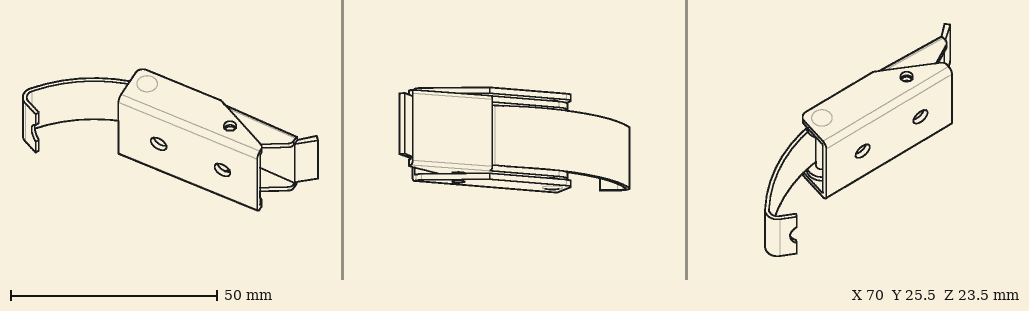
import cadquery as cq
import math


HOUSING_LEFT = -4.0
HOUSING_LENGTH = 37.95
HOUSING_TOP = 3.7
HOUSING_HEIGHT = 11.0
HOUSING_WIDTH = 22.7
SHEET = 1.5
HOUSING_BEND = 1.5
HOUSING_INNER_BEND = 0.3
FLANGE_SLOPE_START = 18.35
FLANGE_SLOPE_END_Y = -4.3
FLANGE_FRONT_RADIUS = 1.95
FLANGE_BACK_RADIUS = 1.5
WEB_HOLE_DIAMETER = 4.3
WEB_HOLE_X = (7.0, 24.4)
LOCK_HOLE_DIAMETER = 3.0
LOCK_HOLE_CENTER = (23.95, -2.3)
PIVOT_DIAMETER = 2.8
DOME_DIAMETER = 5.0
DOME_HEIGHT = 0.4

LEVER_WIDTH = 18.5
LEVER_BEND = 1.0
EAR_RADIUS = 3.7
EAR_LOW_POINT = (26.6, -5.7)
EAR_TAIL_ANGLE = 29.5
EAR_TAIL_RADIUS = 1.5
PLATE_START_X = 18.1
PLATE_START_Y = 4.8
PLATE_END_X = 39.0
PLATE_END_Y = 4.1
TAB_TIP = (42.55, 7.4)
TAB_ANGLE = 42.0
STRIP_WIDTH = 15.0
HOOK_PIN_DIAMETER = 4.0

HOOK_THICKNESS = 1.0
HOOK_ARC_RADIUS = 38.8
HOOK_ARC_CENTER = (4.4, -36.05)
HOOK_EYE_X = 14.9
CLAW_BEND_RADIUS = 3.0
CLAW_BEND_X = -23.45
CLAW_ANGLE = 26.0
CLAW_END_X = -20.9
NOTCH_RADIUS = 4.0
NOTCH_DEPTH = 1.7

HOUSING_RIGHT = HOUSING_LEFT + HOUSING_LENGTH
HOUSING_BOTTOM = HOUSING_TOP - HOUSING_HEIGHT
HOUSING_INNER_WIDTH = HOUSING_WIDTH - 2 * SHEET
LEVER_INNER_WIDTH = LEVER_WIDTH - 2 * SHEET
EYE_RADIUS = HOOK_PIN_DIAMETER / 2 + HOOK_THICKNESS


def on_arc(radius, x):
    """Point at the given X on the upper part of a circle about the hook arc centre."""
    center_x, center_y = HOOK_ARC_CENTER
    return (x, center_y + math.sqrt(radius**2 - (x - center_x) ** 2))


def polar(center, radius, degrees):
    angle = math.radians(degrees)
    return (center[0] + radius * math.cos(angle), center[1] + radius * math.sin(angle))


def direction(start, end):
    return math.degrees(math.atan2(end[1] - start[1], end[0] - start[0]))


HOOK_EYE = on_arc(HOOK_ARC_RADIUS - EYE_RADIUS, HOOK_EYE_X)
CLAW_BEND = on_arc(HOOK_ARC_RADIUS - CLAW_BEND_RADIUS, CLAW_BEND_X)


def prism(outline, width):
    """Extrude a closed outline symmetrically about Z = 0."""
    return outline.extrude(width / 2, both=True)


def rod(center, diameter, length):
    return prism(cq.Workplane("XY").center(*center).circle(diameter / 2), length)


def dome():
    """Rivet head on the +Z flange: a spherical cap."""
    base = HOUSING_WIDTH / 2
    return (
        cq.Workplane("XZ")
        .moveTo(0, base)
        .lineTo(DOME_DIAMETER / 2, base)
        .threePointArc(dome_middle(base), (0, base + DOME_HEIGHT))
        .close()
        .revolve(360, (0, 0, 0), (0, 1, 0))
    )


def dome_middle(base):
    """Point halfway along the dome's profile arc."""
    half = DOME_DIAMETER / 2
    radius = (half**2 + DOME_HEIGHT**2) / (2 * DOME_HEIGHT)
    half_angle = math.degrees(math.asin(half / radius)) / 2
    return polar((0, base + DOME_HEIGHT - radius), radius, 90 - half_angle)


def channel():
    mid_x = (HOUSING_LEFT + HOUSING_RIGHT) / 2
    outer = (
        cq.Workplane("XY")
        .box(HOUSING_LENGTH, HOUSING_HEIGHT, HOUSING_WIDTH)
        .edges("|X and <Y")
        .fillet(HOUSING_BEND)
    )
    inner = (
        cq.Workplane("XY")
        .box(HOUSING_LENGTH, HOUSING_HEIGHT, HOUSING_INNER_WIDTH)
        .edges("|X and <Y")
        .fillet(HOUSING_INNER_BEND)
        .translate((0, SHEET, 0))
    )
    return outer.cut(inner).translate((mid_x, (HOUSING_TOP + HOUSING_BOTTOM) / 2, 0))


def flange_outline():
    """Side shape of the housing, with the sloped flange end."""
    outline = (
        cq.Workplane("XY")
        .moveTo(HOUSING_LEFT, HOUSING_BOTTOM)
        .lineTo(HOUSING_RIGHT, HOUSING_BOTTOM)
        .lineTo(HOUSING_RIGHT, FLANGE_SLOPE_END_Y)
        .lineTo(FLANGE_SLOPE_START, HOUSING_TOP)
        .lineTo(HOUSING_LEFT, HOUSING_TOP)
        .close()
    )
    return (
        prism(outline, HOUSING_WIDTH)
        .edges("|Z and <X and >Y")
        .fillet(FLANGE_FRONT_RADIUS)
        .edges(cq.NearestToPointSelector((HOUSING_RIGHT, FLANGE_SLOPE_END_Y, 0)))
        .fillet(FLANGE_BACK_RADIUS)
    )


def make_housing():
    body = channel().intersect(flange_outline())
    for x in WEB_HOLE_X:
        hole = (
            cq.Workplane("XZ", origin=(x, HOUSING_BOTTOM + SHEET, 0))
            .circle(WEB_HOLE_DIAMETER / 2)
            .extrude(SHEET)
        )
        body = body.cut(hole)
    body = body.cut(rod(LOCK_HOLE_CENTER, LOCK_HOLE_DIAMETER, HOUSING_WIDTH))
    body = body.union(rod((0, 0), PIVOT_DIAMETER, HOUSING_WIDTH))
    head = dome()
    return body.union(head).union(head.mirror("XY"))


def ears():
    low_x, low_y = EAR_LOW_POINT
    tail_y = low_y + (PLATE_END_X - low_x) * math.tan(math.radians(EAR_TAIL_ANGLE))
    low_distance = math.hypot(low_x, low_y)
    tangent_angle = direction((0, 0), EAR_LOW_POINT) - math.degrees(math.acos(EAR_RADIUS / low_distance))
    outline = (
        cq.Workplane("XY")
        .moveTo(0, EAR_RADIUS)
        .threePointArc((-EAR_RADIUS, 0), polar((0, 0), EAR_RADIUS, tangent_angle))
        .lineTo(low_x, low_y)
        .lineTo(PLATE_END_X, tail_y)
        .lineTo(PLATE_END_X, PLATE_END_Y)
        .lineTo(PLATE_START_X, PLATE_START_Y)
        .lineTo(PLATE_START_X, EAR_RADIUS)
        .close()
    )
    solid = (
        prism(outline, LEVER_WIDTH)
        .edges(cq.NearestToPointSelector((PLATE_END_X, tail_y, 0)))
        .fillet(EAR_TAIL_RADIUS)
    )
    opening = cq.Workplane("XY").box(4 * PLATE_END_X, 4 * PLATE_END_X, LEVER_INNER_WIDTH)
    return solid.cut(opening)


def plate():
    outline = cq.Workplane("XY").polyline(
        [
            (PLATE_START_X, PLATE_START_Y),
            (PLATE_END_X, PLATE_END_Y),
            (PLATE_END_X, PLATE_END_Y - SHEET),
            (PLATE_START_X, PLATE_START_Y - SHEET),
        ]
    ).close()
    return prism(outline, LEVER_WIDTH)


def finger_tab():
    lower_tip = polar(TAB_TIP, SHEET, TAB_ANGLE - 90)
    outline = cq.Workplane("XY").polyline(
        [
            (PLATE_END_X, PLATE_END_Y),
            TAB_TIP,
            lower_tip,
            (PLATE_END_X, PLATE_END_Y - SHEET),
        ]
    ).close()
    return prism(outline, STRIP_WIDTH)


def make_lever():
    body = ears().union(plate())
    plate_middle = ((PLATE_START_X + PLATE_END_X) / 2, (PLATE_START_Y + PLATE_END_Y) / 2)
    for side in (-1, 1):
        edge_point = (*plate_middle, side * LEVER_WIDTH / 2)
        body = body.edges(cq.NearestToPointSelector(edge_point)).fillet(LEVER_BEND)
    body = body.union(finger_tab())
    body = body.cut(rod((0, 0), PIVOT_DIAMETER, LEVER_WIDTH))
    body = body.cut(rod(LOCK_HOLE_CENTER, LOCK_HOLE_DIAMETER, LEVER_WIDTH))
    return body.union(rod(HOOK_EYE, HOOK_PIN_DIAMETER, HOUSING_INNER_WIDTH))


def hook_strip():
    """Strip running from the eye over the long arc and round the claw bend to the claw tip."""
    eye_angle = direction(HOOK_ARC_CENTER, HOOK_EYE)
    bend_angle = direction(HOOK_ARC_CENTER, CLAW_BEND)
    arc_middle = (eye_angle + bend_angle) / 2
    claw_angle = 270 - CLAW_ANGLE
    claw_middle = (bend_angle + claw_angle) / 2
    inner_arc = HOOK_ARC_RADIUS - HOOK_THICKNESS
    inner_bend = CLAW_BEND_RADIUS - HOOK_THICKNESS

    claw_start = polar(CLAW_BEND, CLAW_BEND_RADIUS, claw_angle)
    claw_length = (CLAW_END_X - claw_start[0]) / math.cos(math.radians(CLAW_ANGLE))
    outer_tip = polar(claw_start, claw_length, -CLAW_ANGLE)
    inner_tip = polar(outer_tip, HOOK_THICKNESS, 90 - CLAW_ANGLE)

    outline = (
        cq.Workplane("XY")
        .moveTo(*polar(HOOK_ARC_CENTER, HOOK_ARC_RADIUS, eye_angle))
        .threePointArc(
            polar(HOOK_ARC_CENTER, HOOK_ARC_RADIUS, arc_middle),
            polar(HOOK_ARC_CENTER, HOOK_ARC_RADIUS, bend_angle),
        )
        .threePointArc(polar(CLAW_BEND, CLAW_BEND_RADIUS, claw_middle), claw_start)
        .lineTo(*outer_tip)
        .lineTo(*inner_tip)
        .lineTo(*polar(CLAW_BEND, inner_bend, claw_angle))
        .threePointArc(
            polar(CLAW_BEND, inner_bend, claw_middle),
            polar(CLAW_BEND, inner_bend, bend_angle),
        )
        .threePointArc(
            polar(HOOK_ARC_CENTER, inner_arc, arc_middle),
            polar(HOOK_ARC_CENTER, inner_arc, eye_angle),
        )
        .close()
    )
    notch_x, notch_y = polar(outer_tip, NOTCH_RADIUS - NOTCH_DEPTH, -CLAW_ANGLE)
    across = (math.sin(math.radians(CLAW_ANGLE)), math.cos(math.radians(CLAW_ANGLE)), 0)
    notch_plane = cq.Plane(origin=(notch_x, notch_y, 0), xDir=(0, 0, 1), normal=across)
    notch = cq.Workplane(notch_plane).circle(NOTCH_RADIUS).extrude(HOOK_THICKNESS)
    return prism(outline, STRIP_WIDTH).cut(notch)


def make_hook():
    eye = rod(HOOK_EYE, 2 * EYE_RADIUS, STRIP_WIDTH)
    pin_hole = rod(HOOK_EYE, HOOK_PIN_DIAMETER, STRIP_WIDTH)
    return hook_strip().union(eye).cut(pin_hole)


housing = make_housing()
lever = make_lever()
hook = make_hook()

result = cq.Compound.makeCompound([housing.val(), lever.val(), hook.val()])